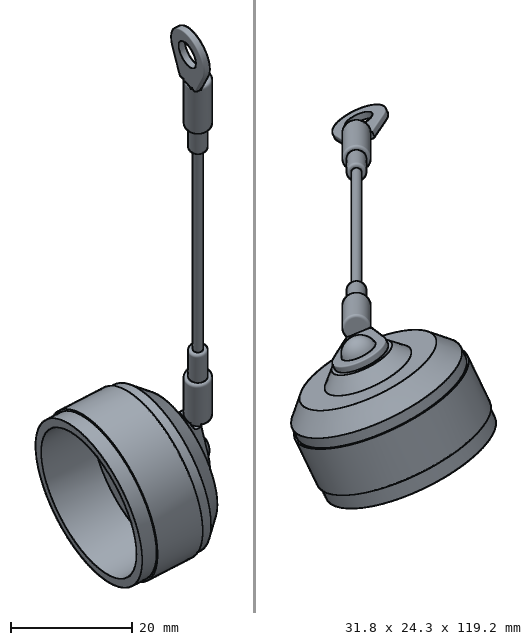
import cadquery as cq
import math

OVERALL_LENGTH = 119.2
OVERALL_DEPTH = 24.3

CAP_RADIUS = 15.9
LAND_RADIUS = 15.5
FRONT_LAND_END = 2.9
BAND_END = 11.9
REAR_LAND_END = 13.8
SHOULDER_Y = 17.3
SHOULDER_RADIUS = 12.4
BOSS_BASE_RADIUS = 7.9
BOSS_TOP_RADIUS = 5.5
CAVITY_RADIUS = 13.8
CAVITY_DEPTH = 10.3
KNOB_RADIUS = 3.1
KNOB_HEIGHT = 2.5
CAP_Z = CAP_RADIUS

BARREL_DIAMETER = 4.8
FERRULE_DIAMETER = 3.3
CABLE_DIAMETER = 1.8
EYE_RADIUS = 4.9
EYE_HOLE_RADIUS = 2.5
TAB_THICKNESS = 1.3
TAB_EDGE_FILLET = 0.2
CRIMP_FILLET = 0.5
TAB_REAR_Y = 21.1
TAB_FRONT_Y = TAB_REAR_Y - TAB_THICKNESS
CABLE_Y = OVERALL_DEPTH - BARREL_DIAMETER / 2

UPPER_EYE_Z = OVERALL_LENGTH - EYE_RADIUS
UPPER_BARREL_TOP = 107.2
UPPER_BARREL_BOTTOM = 95.7
UPPER_FERRULE_BOTTOM = 89.9
LOWER_FERRULE_TOP = 40.2
LOWER_BARREL_TOP = 33.5
LOWER_BARREL_BOTTOM = 23.6


def make_cap():
    """Turned cap with a blind cavity and a domed knob whose shank passes through the lower eye."""
    profile = (
        cq.Workplane("XY")
        .moveTo(0, CAVITY_DEPTH)
        .lineTo(CAVITY_RADIUS, CAVITY_DEPTH)
        .lineTo(CAVITY_RADIUS, 0)
        .lineTo(LAND_RADIUS, 0)
        .lineTo(LAND_RADIUS, FRONT_LAND_END)
        .lineTo(CAP_RADIUS, FRONT_LAND_END)
        .lineTo(CAP_RADIUS, BAND_END)
        .lineTo(LAND_RADIUS, BAND_END)
        .lineTo(LAND_RADIUS, REAR_LAND_END)
        .lineTo(SHOULDER_RADIUS, SHOULDER_Y)
        .lineTo(BOSS_BASE_RADIUS, SHOULDER_Y)
        .lineTo(BOSS_TOP_RADIUS, TAB_FRONT_Y)
        .lineTo(EYE_HOLE_RADIUS, TAB_FRONT_Y)
        .lineTo(EYE_HOLE_RADIUS, TAB_REAR_Y)
        .lineTo(KNOB_RADIUS, TAB_REAR_Y)
        .threePointArc(dome_point(), (0, TAB_REAR_Y + KNOB_HEIGHT))
        .close()
    )
    return profile.revolve(360, (0, 0, 0), (0, 1, 0)).translate((0, 0, CAP_Z))


def dome_point():
    """Middle point of the circular arc from the knob rim to its tip."""
    dome_radius = (KNOB_RADIUS**2 + KNOB_HEIGHT**2) / (2 * KNOB_HEIGHT)
    centre_y = TAB_REAR_Y + KNOB_HEIGHT - dome_radius
    half_angle = math.atan2(KNOB_RADIUS, dome_radius - KNOB_HEIGHT) / 2
    return (dome_radius * math.sin(half_angle), centre_y + dome_radius * math.cos(half_angle))


def rod(diameter, start_z, end_z):
    """Round rod on the cable axis between two heights."""
    bottom = min(start_z, end_z)
    return (
        cq.Workplane("XY", origin=(0, CABLE_Y, bottom))
        .circle(diameter / 2)
        .extrude(abs(end_z - start_z))
    )


def eye_side(eye_z, barrel_end):
    """+1 when the eye lies above the barrel, -1 when it lies below."""
    return 1 if eye_z > barrel_end else -1


def eye_tab(eye_z, barrel_end):
    """Flat eye whose sides run tangent from the ring to the full width of the barrel."""
    neck = BARREL_DIAMETER / 2
    reach = abs(eye_z - barrel_end)
    side = eye_side(eye_z, barrel_end)
    corner_distance = math.hypot(neck, reach)
    tangent_angle = math.acos(EYE_RADIUS / corner_distance) - math.atan2(reach, neck)
    tangent_x = EYE_RADIUS * math.cos(tangent_angle)
    tangent_z = eye_z + side * EYE_RADIUS * math.sin(tangent_angle)
    outline = (
        cq.Workplane("XZ", origin=(0, TAB_REAR_Y, 0))
        .moveTo(-neck, barrel_end)
        .lineTo(neck, barrel_end)
        .lineTo(tangent_x, tangent_z)
        .threePointArc((0, eye_z + side * EYE_RADIUS), (-tangent_x, tangent_z))
        .close()
        .extrude(TAB_THICKNESS)
    )
    neck_selector = "<Z" if side > 0 else ">Z"
    rim_edges = outline.faces("|Y").edges(f"not {neck_selector}")
    outline = rim_edges.fillet(TAB_EDGE_FILLET)
    hole = (
        cq.Workplane("XZ", origin=(0, TAB_REAR_Y, eye_z))
        .circle(EYE_HOLE_RADIUS)
        .extrude(TAB_THICKNESS)
    )
    return outline.cut(hole)


def make_terminal(eye_z, barrel_end, barrel_ferrule_joint, ferrule_end):
    """Crimp terminal made of a flat eye, a barrel and a narrower ferrule."""
    barrel = rod(BARREL_DIAMETER, barrel_end, barrel_ferrule_joint)
    ferrule = rod(FERRULE_DIAMETER, barrel_ferrule_joint, ferrule_end)
    side = eye_side(eye_z, barrel_end)
    ferrule_end_edge = "<Z" if side > 0 else ">Z"
    rounded_barrel = barrel.edges("%CIRCLE").fillet(CRIMP_FILLET)
    rounded_ferrule = ferrule.edges(ferrule_end_edge).fillet(CRIMP_FILLET)
    root = cq.Workplane("XY").box(BARREL_DIAMETER, TAB_THICKNESS, CRIMP_FILLET).translate(
        (0, (TAB_REAR_Y + TAB_FRONT_Y) / 2, barrel_end - side * CRIMP_FILLET / 2)
    )
    root = root.intersect(barrel)
    return rounded_barrel.union(rounded_ferrule).union(root).union(eye_tab(eye_z, barrel_end))


def make_cable():
    """Straight cable that ends flush against both ferrules."""
    return rod(CABLE_DIAMETER, LOWER_FERRULE_TOP, UPPER_FERRULE_BOTTOM)


TERMINAL_HEIGHTS = [
    (UPPER_EYE_Z, UPPER_BARREL_TOP, UPPER_BARREL_BOTTOM, UPPER_FERRULE_BOTTOM),
    (CAP_Z, LOWER_BARREL_BOTTOM, LOWER_BARREL_TOP, LOWER_FERRULE_TOP),
]

cap = make_cap()
cable = make_cable()
terminals = [make_terminal(*heights) for heights in TERMINAL_HEIGHTS]

result = cq.Compound.makeCompound([cap.val(), cable.val(), *[terminal.val() for terminal in terminals]])